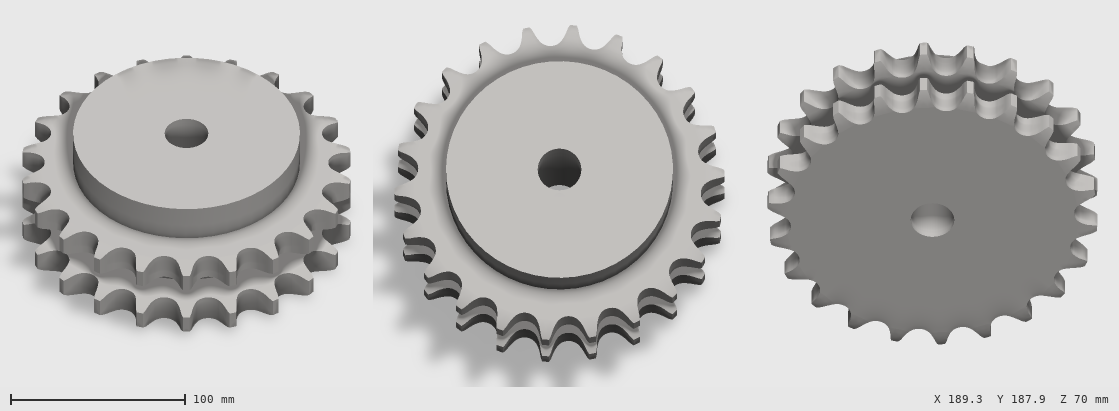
import cadquery as cq
import math


TOOTH_COUNT = 22
PITCH_DIAMETER = 178.5
ROLLER_DIAMETER = 15.9
SEATING_CLEARANCE = 0.04
TOOTH_ANGLE = 360 / TOOTH_COUNT
CHAIN_PITCH = PITCH_DIAMETER * math.sin(math.radians(TOOTH_ANGLE / 2))

OUTER_DIAMETER = 189.3
TOTAL_HEIGHT = 70
HUB_DIAMETER = 130.0
BORE_DIAMETER = 25.0

PLATE_THICKNESS = 15.9
STRAND_SPACING = 31.8
FLAT_FACE_RADIUS = 83.5
SIDE_ARC_RADIUS = CHAIN_PITCH

SEATING_RADIUS = 0.5025 * ROLLER_DIAMETER + SEATING_CLEARANCE
WORKING_OFFSET = 0.8 * ROLLER_DIAMETER
WORKING_RADIUS = SEATING_RADIUS + WORKING_OFFSET
TOPPING_OFFSET = 1.4 * ROLLER_DIAMETER
SEATING_ANGLE = 35 + 60 / TOOTH_COUNT
WORKING_ANGLE = 18 - 56 / TOOTH_COUNT
TOPPING_ANGLE = 17 - 64 / TOOTH_COUNT
FLANK_LENGTH = (
    TOPPING_OFFSET * math.sin(math.radians(TOPPING_ANGLE))
    - WORKING_OFFSET * math.sin(math.radians(WORKING_ANGLE))
)
TOPPING_RADIUS = (
    WORKING_OFFSET * math.cos(math.radians(WORKING_ANGLE))
    + TOPPING_OFFSET * math.cos(math.radians(TOPPING_ANGLE))
    - WORKING_RADIUS
)
TOPPING_SWEEP = 25


def offset(point, distance, angle):
    """Point at a distance and direction (degrees from +X) from another point."""
    direction = math.radians(angle)
    return (point[0] + distance * math.cos(direction), point[1] + distance * math.sin(direction))


def mirror(point):
    """Reflection of a point in the gap's centre line, the Y axis."""
    return (-point[0], point[1])


def gap_cutter():
    """Prism through one plate with the outline of a tooth gap centred on +Y."""
    roller_center = (0, PITCH_DIAMETER / 2)
    bottom = offset(roller_center, SEATING_RADIUS, -90)

    seating_middle = offset(roller_center, SEATING_RADIUS, -(90 + SEATING_ANGLE) / 2)
    seating_end = offset(roller_center, SEATING_RADIUS, -SEATING_ANGLE)
    working_center = offset(roller_center, WORKING_OFFSET, 180 - SEATING_ANGLE)
    working_middle = offset(working_center, WORKING_RADIUS, WORKING_ANGLE / 2 - SEATING_ANGLE)
    flank_normal = WORKING_ANGLE - SEATING_ANGLE
    working_end = offset(working_center, WORKING_RADIUS, flank_normal)
    flank_end = offset(working_end, FLANK_LENGTH, flank_normal + 90)
    topping_center = offset(flank_end, TOPPING_RADIUS, flank_normal)
    topping_start = flank_normal + 180
    topping_middle = offset(topping_center, TOPPING_RADIUS, topping_start - TOPPING_SWEEP / 2)
    topping_end = offset(topping_center, TOPPING_RADIUS, topping_start - TOPPING_SWEEP)

    return (
        cq.Workplane("XY")
        .moveTo(*bottom)
        .threePointArc(seating_middle, seating_end)
        .threePointArc(working_middle, working_end)
        .lineTo(*flank_end)
        .threePointArc(topping_middle, topping_end)
        .lineTo(*mirror(topping_end))
        .threePointArc(mirror(topping_middle), mirror(flank_end))
        .lineTo(*mirror(working_end))
        .threePointArc(mirror(working_middle), mirror(seating_end))
        .threePointArc(mirror(seating_middle), bottom)
        .close()
        .extrude(PLATE_THICKNESS)
    )


def plate_blank():
    """Disc whose rim is narrowed on both sides by arcs tangent to the flat faces."""
    outer_radius = OUTER_DIAMETER / 2

    def side_drop(radius):
        reach = radius - FLAT_FACE_RADIUS
        return SIDE_ARC_RADIUS - math.sqrt(SIDE_ARC_RADIUS**2 - reach**2)

    middle_radius = (FLAT_FACE_RADIUS + outer_radius) / 2
    middle_drop = side_drop(middle_radius)
    tip_drop = side_drop(outer_radius)

    return (
        cq.Workplane("XZ")
        .lineTo(FLAT_FACE_RADIUS, 0)
        .threePointArc((middle_radius, middle_drop), (outer_radius, tip_drop))
        .lineTo(outer_radius, PLATE_THICKNESS - tip_drop)
        .threePointArc(
            (middle_radius, PLATE_THICKNESS - middle_drop), (FLAT_FACE_RADIUS, PLATE_THICKNESS)
        )
        .lineTo(0, PLATE_THICKNESS)
        .close()
        .revolve(360, (0, 0, 0), (0, 1, 0))
    )


def toothed_plate():
    """One sprocket strand with a tooth centred on +X."""
    plate = plate_blank()
    gap = gap_cutter()
    first_gap_turn = TOOTH_ANGLE / 2 - 90
    for index in range(TOOTH_COUNT):
        turn = first_gap_turn + index * TOOTH_ANGLE
        plate = plate.cut(gap.rotate((0, 0, 0), (0, 0, 1), turn))
    return plate


strand = toothed_plate()
hub = cq.Workplane("XY").circle(HUB_DIAMETER / 2).extrude(TOTAL_HEIGHT)
bore = cq.Workplane("XY").circle(BORE_DIAMETER / 2).extrude(TOTAL_HEIGHT)

result = hub.union(strand).union(strand.translate((0, 0, STRAND_SPACING))).cut(bore)